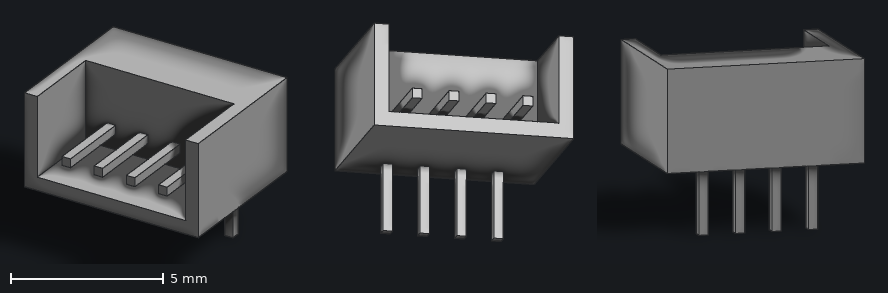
import cadquery as cq

body_width = 6.75
body_depth = 5.5
body_height = 3.5
wall = 0.5
cavity_depth = 3.0

pin_count = 4
pin_pitch = 1.25
contact_size = 0.33
tail_width = 0.32
tail_thickness = 0.34
contact_height = 1.25
contact_setback = 0.2
tail_length = 2.3
tail_from_back = 1.05

front_y = -body_depth / 2
back_y = body_depth / 2
tail_y = back_y - tail_from_back


def box_between(low, high):
    """Axis-aligned box spanning two opposite corners."""
    sizes = [b - a for a, b in zip(low, high)]
    return cq.Workplane("XY").box(*sizes, centered=False).translate(low)


def make_housing():
    """Block with a cavity open at the front and the top."""
    block = box_between((-body_width / 2, front_y, 0), (body_width / 2, back_y, body_height))
    cavity_half_width = body_width / 2 - wall
    cavity = box_between(
        (-cavity_half_width, front_y, wall),
        (cavity_half_width, front_y + cavity_depth, body_height),
    )
    return block.cut(cavity)


def make_pin(x):
    """Right-angle pin: a horizontal contact and a vertical tail joined inside the housing."""
    half_contact = contact_size / 2
    half_width = tail_width / 2
    half_thickness = tail_thickness / 2
    contact_top = contact_height + half_contact
    contact = box_between(
        (x - half_contact, front_y + contact_setback, contact_height - half_contact),
        (x + half_contact, tail_y + half_thickness, contact_top),
    )
    tail = box_between(
        (x - half_width, tail_y - half_thickness, -tail_length),
        (x + half_width, tail_y + half_thickness, contact_top),
    )
    return contact.union(tail)


result = make_housing()
for index in range(pin_count):
    pin_x = (index - (pin_count - 1) / 2) * pin_pitch
    result = result.union(make_pin(pin_x))